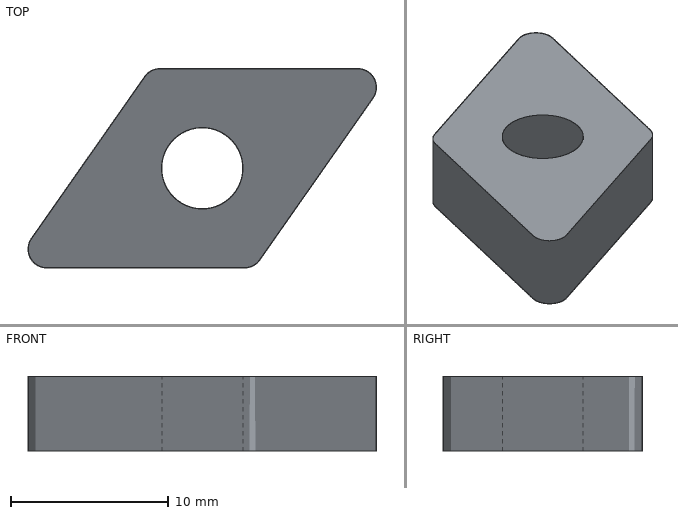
import cadquery as cq
import math

inscribed_circle = 12.7
acute_angle = 55.0
thickness = 4.76
corner_radius = 1.2
hole_diameter = 5.16

side_length = inscribed_circle / math.sin(math.radians(acute_angle))
half_height = inscribed_circle / 2
slant_run = side_length * math.cos(math.radians(acute_angle))
long_reach = (side_length + slant_run) / 2
short_reach = (side_length - slant_run) / 2


def rhombic_body():
    """Rhombus centred on the origin, with two sides parallel to X."""
    corners = [
        (-long_reach, -half_height),
        (short_reach, -half_height),
        (long_reach, half_height),
        (-short_reach, half_height),
    ]
    body = cq.Workplane("XY").polyline(corners).close().extrude(thickness)
    return body.edges("|Z").fillet(corner_radius)


def clamping_hole():
    return cq.Workplane("XY").circle(hole_diameter / 2).extrude(thickness)


result = rhombic_body().cut(clamping_hole())